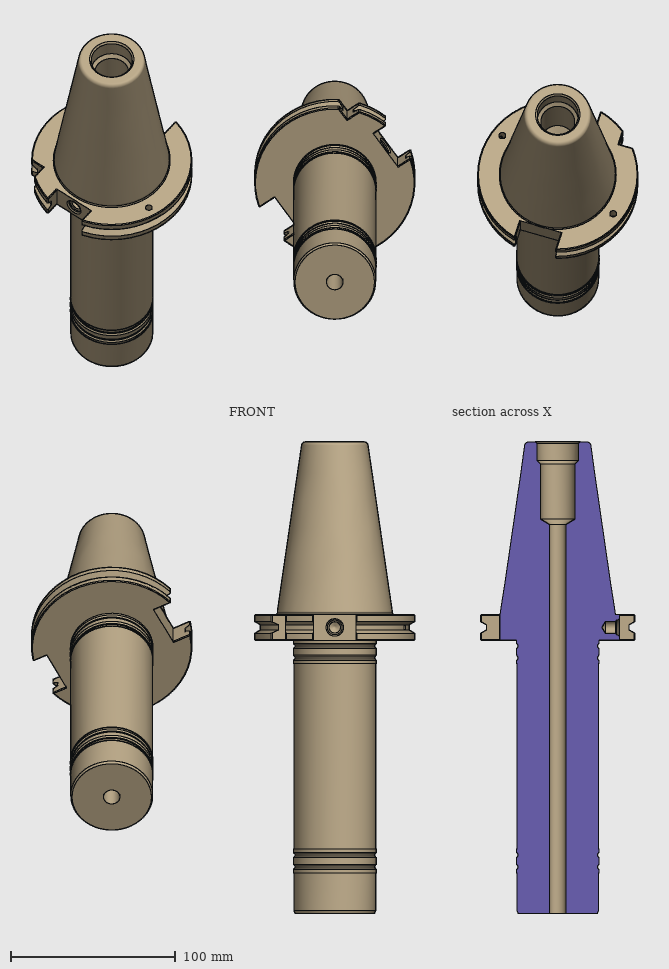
import cadquery as cq
import math

taper_length = 103.0
taper_diameter = 70.0
taper_ratio = 7 / 24
tip_round = 2.5

neck_height = 2.0
neck_land = 1.1
neck_foot_diameter = 71.0

flange_diameter = 97.5
flange_thickness = 15.8
flange_chamfer = 0.5
groove_diameter = 90.5
groove_floor_width = 3.2
groove_half_angle = 30

total_length = 286.5
body_diameter = 50.0
body_chamfer_height = 1.7
body_chamfer_width = 1.0
collar_diameter = 50.5
upper_collar_height = 14.0
lower_collar_height = 14.5
lower_collar_to_end = 24.6
ring_pitch = 7.2
ring_mouth = 3.2
ring_floor = 1.1
ring_depth = 1.0

slot_width = 25.8
back_slot_floor = 35.3
front_slot_floor = 37.5
notch_offset = 29.8
sharp_edge_radius = 42.7

bore_mouth_diameter = 27.0
bore_mouth_chamfer = 1.1
bore_diameter = 25.0
bore_depth = 11.5
shoulder_height = 2.0
thread_diameter = 20.5
thread_depth = 47.0
through_diameter = 10.0
drill_point_half_angle = 59

screw_diameter = 7.0
screw_recess_diameter = 9.0
screw_recess_depth = 1.7
screw_mouth_diameter = 10.5
screw_mouth_chamfer = 1.0
screw_depth = 8.5

coolant_diameter = 4.0
coolant_outlet_diameter = 3.2
coolant_radius = 42.0
coolant_angles = (160, 340)

flange_top = -neck_height
flange_bottom = flange_top - flange_thickness
flange_middle = (flange_top + flange_bottom) / 2
body_bottom = taper_length - total_length


def revolve_profile(points):
    """Turn a closed (radius, z) outline about the Z axis."""
    return cq.Workplane("XZ").polyline(points).close().revolve(360, (0, 0, 0), (0, 1, 0))


def cylinder(diameter, bottom, top):
    return cq.Workplane("XY").workplane(offset=bottom).circle(diameter / 2).extrude(top - bottom)


def middle_radius(edge):
    """Distance from the Z axis to the middle of an edge."""
    middle = edge.positionAt(0.5)
    return math.hypot(middle.x, middle.y)


def drill_tip_height(diameter, end_diameter=0):
    """Height of the drill cone that narrows from one diameter to another."""
    return (diameter - end_diameter) / 2 / math.tan(math.radians(drill_point_half_angle))


def make_taper():
    tip_diameter = taper_diameter - taper_ratio * taper_length
    cone = revolve_profile([
        (0, 0),
        (taper_diameter / 2, 0),
        (tip_diameter / 2, taper_length),
        (0, taper_length),
    ])
    cone = cone.faces(">Z").edges().fillet(tip_round)
    neck = revolve_profile([
        (0, 0),
        (taper_diameter / 2, 0),
        (taper_diameter / 2, -neck_land),
        (neck_foot_diameter / 2, flange_top),
        (0, flange_top),
    ])
    return cone.union(neck)


def make_slot(floor, side):
    """Driving slot on the +Y (side = 1) or -Y (side = -1) edge of the flange."""
    depth = flange_diameter / 2 - floor
    return (
        cq.Workplane("XY")
        .workplane(offset=flange_bottom)
        .center(0, side * (floor + depth / 2))
        .rect(slot_width, depth)
        .extrude(flange_thickness)
    )


def make_notch():
    """Square corner taken out of the flange towards -X and -Y."""
    size = flange_diameter / 2 - notch_offset
    return (
        cq.Workplane("XY")
        .workplane(offset=flange_bottom)
        .center(-notch_offset, -notch_offset)
        .rect(-size, -size, centered=False)
        .extrude(flange_thickness)
    )


def make_flange():
    disc = cylinder(flange_diameter, flange_bottom, flange_top)
    disc = disc.cut(make_slot(back_slot_floor, 1))
    disc = disc.cut(make_slot(front_slot_floor, -1))
    disc = disc.cut(make_notch())

    outer_edges = [edge for edge in disc.edges().vals() if middle_radius(edge) > sharp_edge_radius]
    disc = disc.newObject(outer_edges).chamfer(flange_chamfer)

    rim = flange_diameter / 2
    floor = groove_diameter / 2
    half_floor = groove_floor_width / 2
    half_mouth = half_floor + (rim - floor) * math.tan(math.radians(groove_half_angle))
    groove = revolve_profile([
        (floor, flange_middle - half_floor),
        (rim, flange_middle - half_mouth),
        (rim, flange_middle + half_mouth),
        (floor, flange_middle + half_floor),
    ])
    return disc.cut(groove)


def make_collar(bottom, height):
    """Slightly raised band with two tapered ring grooves around its middle."""
    collar = cylinder(collar_diameter, bottom, bottom + height)
    rim = collar_diameter / 2
    for side in (-1, 1):
        middle = bottom + height / 2 + side * ring_pitch / 2
        collar = collar.cut(revolve_profile([
            (rim - ring_depth, middle - ring_floor / 2),
            (rim, middle - ring_mouth / 2),
            (rim, middle + ring_mouth / 2),
            (rim - ring_depth, middle + ring_floor / 2),
        ]))
    return collar


def make_body():
    """Body with its end chamfer and a grooved collar near each end."""
    upper_collar_bottom = flange_bottom - upper_collar_height
    lower_collar_bottom = body_bottom + lower_collar_to_end
    lower_collar_top = lower_collar_bottom + lower_collar_height

    end = cylinder(body_diameter, body_bottom, lower_collar_bottom)
    end = end.faces("<Z").chamfer(body_chamfer_height, body_chamfer_width)
    shank = cylinder(body_diameter, lower_collar_top, upper_collar_bottom)
    upper_collar = make_collar(upper_collar_bottom, upper_collar_height)
    lower_collar = make_collar(lower_collar_bottom, lower_collar_height)
    return end.union(lower_collar).union(shank).union(upper_collar)


def make_bore():
    """Stepped bore: chamfered mouth, threaded part, drill cone and through hole."""
    thread_bottom = taper_length - thread_depth
    cone_bottom = thread_bottom - drill_tip_height(thread_diameter, through_diameter)
    return revolve_profile([
        (0, taper_length),
        (bore_mouth_diameter / 2, taper_length),
        (bore_diameter / 2, taper_length - bore_mouth_chamfer),
        (bore_diameter / 2, taper_length - bore_depth),
        (thread_diameter / 2, taper_length - bore_depth - shoulder_height),
        (thread_diameter / 2, thread_bottom),
        (through_diameter / 2, cone_bottom),
        (through_diameter / 2, body_bottom),
        (0, body_bottom),
    ])


def make_screw_hole():
    """Blind hole along Y with a chamfered recess at its mouth and a drill point."""
    hole = revolve_profile([
        (0, 0),
        (screw_mouth_diameter / 2, 0),
        (screw_recess_diameter / 2, -screw_mouth_chamfer),
        (screw_recess_diameter / 2, -screw_recess_depth),
        (screw_diameter / 2, -screw_recess_depth - drill_tip_height(screw_recess_diameter, screw_diameter)),
        (screw_diameter / 2, -screw_depth),
        (0, -screw_depth - drill_tip_height(screw_diameter)),
    ])
    return hole.rotate((0, 0, 0), (1, 0, 0), 90).translate((0, -front_slot_floor, flange_middle))


def make_coolant_hole(angle):
    """Vertical hole in the flange top, meeting a radial hole from the groove floor."""
    feed_bottom = flange_middle - coolant_outlet_diameter / 2
    feed = revolve_profile([
        (0, flange_top),
        (coolant_diameter / 2, flange_top),
        (coolant_diameter / 2, feed_bottom),
        (0, feed_bottom - drill_tip_height(coolant_diameter)),
    ]).translate((coolant_radius, 0, 0))
    outlet = (
        cq.Workplane("YZ")
        .workplane(offset=coolant_radius)
        .center(0, flange_middle)
        .circle(coolant_outlet_diameter / 2)
        .extrude(flange_diameter / 2 - coolant_radius)
    )
    return feed.union(outlet).rotate((0, 0, 0), (0, 0, 1), angle)


result = make_taper().union(make_flange()).union(make_body())
result = result.cut(make_bore())
result = result.cut(make_screw_hole())
for coolant_angle in coolant_angles:
    result = result.cut(make_coolant_hole(coolant_angle))